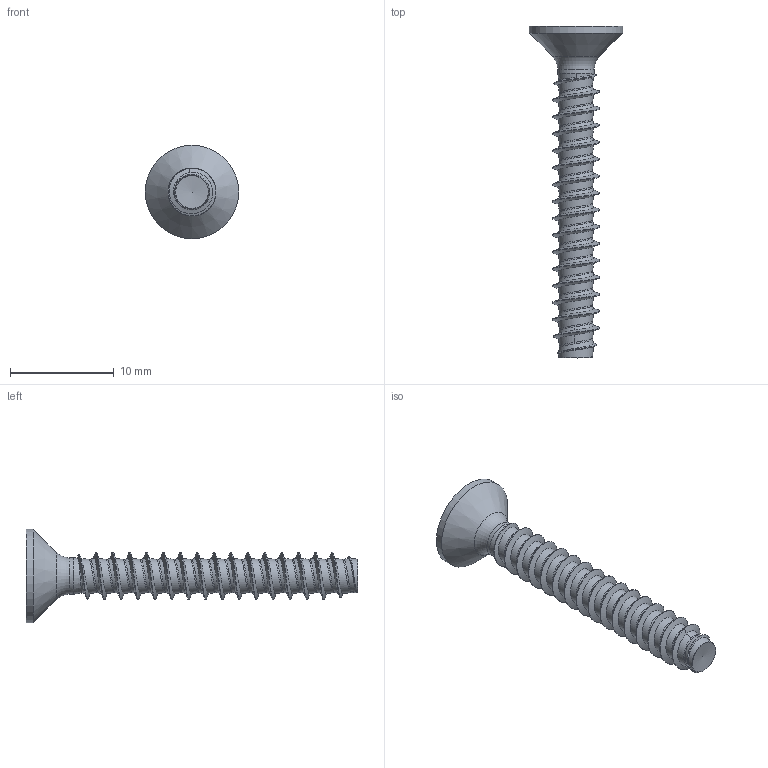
import cadquery as cq
import math

axial_plane = cq.Plane(origin=(0, 0, 0), xDir=(0, 0, 1), normal=(-1, 0, 0))

overall_length = 32.0
head_radius = 4.5
rim_height = 0.7
head_slope = math.radians(45)

neck_radius = 1.77
neck_fillet = 1.75
neck_length = 0.4
neck_taper_length = 1.0

core_radius = 1.61
tip_radius = 1.58
tip_taper_length = 0.4
tip_dish_depth = 0.15

pitch = 1.628
crest_radius = 2.3
crest_half_width = 0.02
flank_half_width = 0.22
shoulder_radius = 1.70
shoulder_lead = 0.58
turn_gap = 0.02
foot_sink = 0.01
buried_radius = 1.45
points_per_turn = 24

crest_depth_at_top = 6.73

thread_stations = [
    (4.40, 0.05),
    (4.75, 0.52),
    (6.30, 1.00),
    (29.55, 1.00),
    (31.85, 0.03),
]


def make_blank():
    """Head, neck and core as one revolved body."""
    fillet_top_radius = neck_radius + neck_fillet * (1 - math.cos(head_slope))
    fillet_top = rim_height + (head_radius - fillet_top_radius) / math.tan(head_slope)
    fillet_end = fillet_top + neck_fillet * math.sin(head_slope)
    half_slope = head_slope / 2
    fillet_mid_radius = neck_radius + neck_fillet * (1 - math.cos(half_slope))
    fillet_mid = fillet_end - neck_fillet * math.sin(half_slope)
    neck_end = fillet_end + neck_length
    return (
        cq.Workplane(axial_plane)
        .moveTo(0, 0)
        .lineTo(head_radius, 0)
        .lineTo(head_radius, -rim_height)
        .lineTo(fillet_top_radius, -fillet_top)
        .threePointArc((fillet_mid_radius, -fillet_mid), (neck_radius, -fillet_end))
        .lineTo(neck_radius, -neck_end)
        .lineTo(core_radius, -neck_end - neck_taper_length)
        .lineTo(core_radius, -overall_length + tip_taper_length)
        .lineTo(tip_radius, -overall_length)
        .lineTo(0, -overall_length)
        .close()
        .revolve(360, (0, 0), (0, 1))
        .val()
    )


def ridge_profile(height):
    """Ridge section as (axial offset, radius) points; the flanks shrink with the height fraction."""
    foot_radius = core_radius - foot_sink
    foot_end = pitch - shoulder_lead - turn_gap
    flank_offset = crest_half_width + height * (flank_half_width - crest_half_width)
    crest = shoulder_radius + height * (crest_radius - shoulder_radius)
    return [
        (-shoulder_lead, buried_radius),
        (-shoulder_lead, foot_radius),
        (-flank_offset, shoulder_radius),
        (-crest_half_width, crest),
        (crest_half_width, crest),
        (flank_offset, shoulder_radius),
        (foot_end, foot_radius),
        (foot_end, buried_radius),
    ]


def thread_point(crest_depth, offset, radius):
    """Point on the helix, turned by the depth of the crest."""
    angle = 2 * math.pi * (crest_depth - crest_depth_at_top) / pitch
    return cq.Vector(
        -radius * math.sin(angle),
        -(crest_depth + offset),
        radius * math.cos(angle),
    )


def thread_edge(start, end, start_corner, end_corner):
    """Helical edge traced by one corner of the ridge section between two crest depths."""
    steps = math.ceil((end - start) / pitch * points_per_turn)
    points = []
    for step in range(steps + 1):
        share = step / steps
        offset = start_corner[0] + share * (end_corner[0] - start_corner[0])
        radius = start_corner[1] + share * (end_corner[1] - start_corner[1])
        points.append(thread_point(start + share * (end - start), offset, radius))
    return cq.Edge.makeSpline(points)


def end_cap(depth, profile):
    """Flat face closing the ridge at one crest depth."""
    corners = [thread_point(depth, offset, radius) for offset, radius in profile]
    return cq.Face.makeFromWires(cq.Wire.makePolygon(corners, close=True))


def make_thread_section(start_station, end_station):
    """Solid length of ridge whose height changes evenly between two stations."""
    start, start_height = start_station
    end, end_height = end_station
    start_profile = ridge_profile(start_height)
    end_profile = ridge_profile(end_height)
    edges = [
        thread_edge(start, end, start_corner, end_corner)
        for start_corner, end_corner in zip(start_profile, end_profile)
    ]
    faces = [
        cq.Face.makeRuledSurface(edge, following_edge)
        for edge, following_edge in zip(edges, edges[1:] + edges[:1])
    ]
    faces.append(end_cap(start, start_profile))
    faces.append(end_cap(end, end_profile))
    return cq.Solid.makeSolid(cq.Shell.makeShell(faces)).fix()


def make_envelope():
    """Cylinder over the whole length, ending in the shallow conical dish of the tip face."""
    return (
        cq.Workplane(axial_plane)
        .moveTo(0, 0)
        .lineTo(head_radius, 0)
        .lineTo(head_radius, -overall_length)
        .lineTo(tip_radius, -overall_length)
        .lineTo(0, -overall_length + tip_dish_depth)
        .close()
        .revolve(360, (0, 0), (0, 1))
        .val()
    )


def make_screw():
    """Blank with the thread added, trimmed at the tip."""
    screw = make_blank()
    for start_station, end_station in zip(thread_stations, thread_stations[1:]):
        screw = screw.fuse(make_thread_section(start_station, end_station))
    return screw.intersect(make_envelope())


result = cq.Workplane("XY").newObject([make_screw()]).solids()